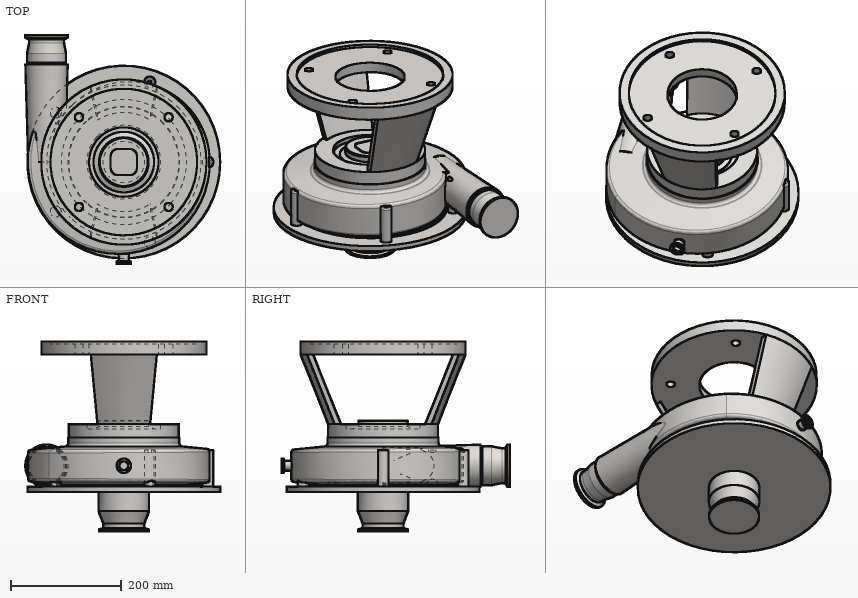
import cadquery as cq
import math


plate_radius = 175.0
plate_thickness = 10.0
seat_radius = 140.0
seat_top = 13.5

casing_mid_z = 48.0
casing_half_height = 35.0
casing_cone_radius = 108.5
casing_cone_slope = 0.1
casing_edge_fillet = 6.0
volute_outer_radius = 174.0
volute_arc_start = 150.0
volute_arc_end = 219.0
spiral_middle = (290.0, 163.0)
spiral_side = (360.0, 156.0)
spiral_end = (510.0, 138.0)
envelope_margin = 10.0

lug_count = 5
lug_circle_radius = 152.5
lug_radius = 10.0
lug_top = 77.0
lug_fillet = 3.0
lug_hole_radius = 3.0
lug_hole_depth = 5.0

hub_top = 123.5
hub_step_z = 99.5
hub_lower_radius = 101.0
hub_upper_radius = 100.0
hub_root_fillet = 6.0
hub_bore_radius = 67.0
hub_floor_z = 115.0

boss_radius = 45.0
boss_top = 130.5
boss_chamfer = 1.5
boss_root_radius = 55.0
boss_root_height = 4.0
recess_side = 47.5
recess_corner = 13.0
recess_depth = 1.0

flange_top = 273.5
flange_thickness = 24.0
flange_radius = 150.0
flange_bottom = flange_top - flange_thickness
flange_recess_radius = 133.0
flange_recess_depth = 5.0
flange_bore_radius = 63.0
flange_hole_radius = 7.5
flange_hole_circle = 115.0
flange_hole_count = 4
flange_hole_start = 45.0

leg_wall = 10.0
leg_half_width_top = 60.0
leg_half_width_bottom = 48.0

suction_radius = 46.0
suction_neck_radius = 37.5
suction_rim_radius = 45.5
suction_end = -71.0
suction_taper_start = -34.5
suction_taper_end = -56.5
suction_neck_end = -65.0
suction_rim_thickness = 3.5

outlet_rim_radius = 38.75
outlet_reach_x = -178.89
outlet_x = outlet_reach_x + outlet_rim_radius
outlet_end = 230.5
outlet_rim_thickness = 4.5
outlet_neck_radius = 32.0
outlet_neck_end = 222.0
outlet_neck_start = 215.5
outlet_sleeve_radius = 35.7
outlet_sleeve_end = 196.5
outlet_sleeve_start = 180.5
outlet_groove_radius = 34.5
outlet_pipe_end = 177.0
outlet_pipe_end_radius = 38.7
outlet_pipe_root_radius = 33.5

nozzle_end = 184.5
nozzle_radius = 9.5
nozzle_rim_radius = 13.0
nozzle_rim_thickness = 4.0
nozzle_rim_taper = 1.5
nozzle_bore_radius = 8.0
nozzle_bore_depth = 18.0


def cylinder(radius, bottom, top):
    return cq.Workplane("XY").workplane(offset=bottom).circle(radius).extrude(top - bottom)


def turned(profile):
    """Solid of revolution about Z from (radius, height) points."""
    return cq.Workplane("XZ").polyline(profile).close().revolve(360, (0, 0), (0, 1))


def polar(degrees, radius):
    angle = math.radians(degrees)
    return (radius * math.cos(angle), radius * math.sin(angle))


def make_casing():
    """Spiral outline, cut above and below by shallow cones, with rounded edges."""
    arc_middle = (volute_arc_start + volute_arc_end) / 2
    outline = (
        cq.Workplane("XY")
        .moveTo(*polar(volute_arc_start, volute_outer_radius))
        .threePointArc(polar(arc_middle, volute_outer_radius), polar(volute_arc_end, volute_outer_radius))
        .threePointArc(polar(*spiral_middle), polar(*spiral_side))
        .tangentArcPoint(polar(*spiral_end), relative=False)
        .close()
    )
    prism = outline.extrude(2 * casing_mid_z)
    far_radius = volute_outer_radius + envelope_margin
    drop = casing_cone_slope * (far_radius - casing_cone_radius)
    top = casing_mid_z + casing_half_height
    bottom = casing_mid_z - casing_half_height
    envelope = turned([
        (0, bottom),
        (casing_cone_radius, bottom),
        (far_radius, bottom + drop),
        (far_radius, top - drop),
        (casing_cone_radius, top),
        (0, top),
    ])
    casing = prism.intersect(envelope)
    wall_edges = casing.faces("<Y").edges("not |Z")
    return casing.newObject(wall_edges.vals()).fillet(casing_edge_fillet)


def make_lugs():
    lug = cylinder(lug_radius, 0, lug_top).faces(">Z").edges().fillet(lug_fillet)
    lug = lug.cut(cylinder(lug_hole_radius, lug_top - lug_hole_depth, lug_top))
    lug = lug.translate((lug_circle_radius, 0, 0))
    lugs = lug
    for index in range(1, lug_count):
        lugs = lugs.union(lug.rotate((0, 0, 0), (0, 0, 1), index * 360 / lug_count))
    return lugs


def make_hub():
    """Stepped hub with a rounded root, an open bore and the shaft boss standing in it."""
    root_z = casing_mid_z + casing_half_height
    root_arc = hub_root_fillet * (1 - math.sqrt(0.5))
    hub = (
        cq.Workplane("XZ")
        .moveTo(0, casing_mid_z)
        .lineTo(hub_lower_radius + hub_root_fillet, casing_mid_z)
        .lineTo(hub_lower_radius + hub_root_fillet, root_z)
        .threePointArc((hub_lower_radius + root_arc, root_z + root_arc),
                       (hub_lower_radius, root_z + hub_root_fillet))
        .lineTo(hub_lower_radius, hub_step_z)
        .lineTo(hub_upper_radius, hub_step_z)
        .lineTo(hub_upper_radius, hub_top)
        .lineTo(hub_bore_radius, hub_top)
        .lineTo(hub_bore_radius, hub_floor_z)
        .lineTo(boss_root_radius, hub_floor_z)
        .lineTo(boss_radius, hub_floor_z + boss_root_height)
        .lineTo(boss_radius, boss_top - boss_chamfer)
        .lineTo(boss_radius - boss_chamfer, boss_top)
        .lineTo(0, boss_top)
        .close()
        .revolve(360, (0, 0), (0, 1))
    )
    recess = cq.Workplane("XY").workplane(offset=boss_top - recess_depth).rect(recess_side, recess_side)
    return hub.cut(recess.extrude(recess_depth).edges("|Z").fillet(recess_corner))


def make_motor_flange():
    flange = cylinder(flange_radius, flange_bottom, flange_top)
    flange = flange.cut(cylinder(flange_recess_radius, flange_top - flange_recess_depth, flange_top))
    flange = flange.cut(cylinder(flange_bore_radius, flange_bottom, flange_top))
    holes = (
        cq.Workplane("XY")
        .workplane(offset=flange_bottom)
        .polarArray(flange_hole_circle, flange_hole_start, 360, flange_hole_count)
        .circle(flange_hole_radius)
        .extrude(flange_thickness)
    )
    return flange.cut(holes)


def make_legs():
    """Conical shell trimmed to a tapered strip, leaving one leg on each side."""
    shell = turned([
        (hub_upper_radius - leg_wall, hub_top),
        (hub_upper_radius, hub_top),
        (flange_radius, flange_bottom),
        (flange_radius - leg_wall, flange_bottom),
    ])
    strip = (
        cq.Workplane("XZ")
        .polyline([
            (-leg_half_width_bottom, hub_top),
            (leg_half_width_bottom, hub_top),
            (leg_half_width_top, flange_bottom),
            (-leg_half_width_top, flange_bottom),
        ])
        .close()
        .extrude(flange_radius, both=True)
    )
    return shell.intersect(strip)


def make_suction_port():
    rim_z = suction_end + suction_rim_thickness
    return turned([
        (0, 0),
        (suction_radius, 0),
        (suction_radius, suction_taper_start),
        (suction_neck_radius, suction_taper_end),
        (suction_neck_radius, suction_neck_end),
        (suction_rim_radius, rim_z),
        (suction_rim_radius, suction_end),
        (0, suction_end),
    ])


def make_outlet():
    """Widening pipe, groove, sleeve, neck and rim, turned upright and laid along +Y."""
    outlet = turned([
        (0, 0),
        (outlet_pipe_root_radius, 0),
        (outlet_pipe_end_radius, outlet_pipe_end),
        (outlet_groove_radius, outlet_pipe_end),
        (outlet_groove_radius, outlet_sleeve_start),
        (outlet_sleeve_radius, outlet_sleeve_start),
        (outlet_sleeve_radius, outlet_sleeve_end),
        (outlet_neck_radius, outlet_neck_start),
        (outlet_neck_radius, outlet_neck_end),
        (outlet_rim_radius, outlet_end - outlet_rim_thickness),
        (outlet_rim_radius, outlet_end),
        (0, outlet_end),
    ])
    return outlet.rotate((0, 0, 0), (1, 0, 0), -90).translate((outlet_x, 0, casing_mid_z))


def lay_nozzle(upright):
    return upright.rotate((0, 0, 0), (1, 0, 0), 90).translate((0, 0, casing_mid_z))


def make_nozzle():
    rim_start = nozzle_end - nozzle_rim_thickness
    nozzle = turned([
        (0, seat_radius),
        (nozzle_radius, seat_radius),
        (nozzle_radius, rim_start - nozzle_rim_taper),
        (nozzle_rim_radius, rim_start),
        (nozzle_rim_radius, nozzle_end),
        (0, nozzle_end),
    ])
    return lay_nozzle(nozzle)


def make_nozzle_bore():
    return lay_nozzle(cylinder(nozzle_bore_radius, nozzle_end - nozzle_bore_depth, nozzle_end))


result = (
    cylinder(plate_radius, 0, plate_thickness)
    .union(cylinder(seat_radius, 0, seat_top))
    .union(make_casing())
    .union(make_lugs())
    .union(make_outlet())
    .union(make_hub())
    .union(make_legs())
    .union(make_motor_flange())
    .union(make_suction_port())
    .union(make_nozzle())
    .cut(make_nozzle_bore())
)